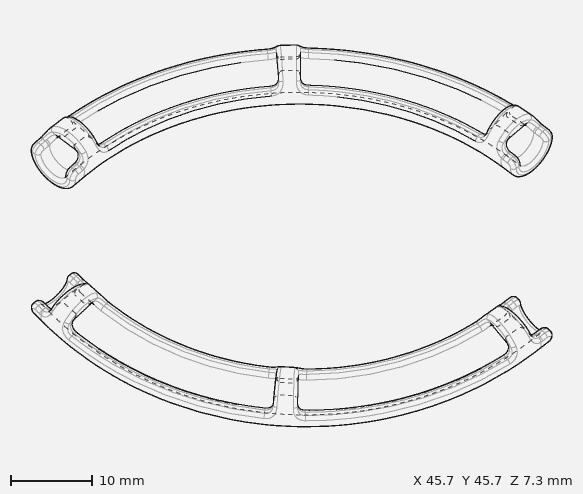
import cadquery as cq
import math

overall = 45.7
tube_radius = 3.65
bore_radius = 2.2
lead_length = 2.1
rim_height = 1.0
corner_radius = 1.0
edge_radius = 0.5
band_setback = 2.8
band_width = 2.85
smooth_limit = 0.99

axis_offset = tube_radius
bend_radius = overall - axis_offset - lead_length
bend_x = overall - lead_length
bend_y = lead_length
band_ceiling = rim_height + corner_radius
cutter_reach = 2 * tube_radius

bend_angle = 90.0
middle_angle = bend_angle / 2
half_band_angle = math.degrees(band_width / 2 / bend_radius)
end_band_angle = math.degrees((band_setback + band_width - lead_length) / bend_radius)


def bend_point(radius, angle):
    """Point at a given radius and angle about the bend centre."""
    turn = math.radians(angle)
    return (bend_x - radius * math.cos(turn), bend_y + radius * math.sin(turn))


def bent_rod(radius):
    """Round rod along a straight lead, a quarter bend and a second straight lead."""
    path = (
        cq.Workplane("XY")
        .moveTo(axis_offset, 0)
        .lineTo(axis_offset, bend_y)
        .threePointArc(bend_point(bend_radius, middle_angle), (bend_x, overall - axis_offset))
        .lineTo(overall, overall - axis_offset)
    )
    return cq.Workplane("XZ", origin=(axis_offset, 0, 0)).circle(radius).sweep(path)


def bend_window(start_angle, end_angle):
    """Cutter that opens the bend above the rims, with rounded feet at both ends."""
    inner = bend_radius - cutter_reach
    outer = bend_radius + cutter_reach
    middle = (start_angle + end_angle) / 2
    return (
        cq.Workplane("XY", origin=(0, 0, rim_height))
        .moveTo(*bend_point(inner, start_angle))
        .lineTo(*bend_point(outer, start_angle))
        .threePointArc(bend_point(outer, middle), bend_point(outer, end_angle))
        .lineTo(*bend_point(inner, end_angle))
        .threePointArc(bend_point(inner, middle), bend_point(inner, start_angle))
        .close()
        .extrude(cutter_reach)
        .faces("<Z")
        .edges("%LINE")
        .fillet(corner_radius)
    )


def end_notch():
    """Cutter that opens the first tube end, rounding the rim end and the foot of the band."""
    r = corner_radius
    bulge = r * math.sqrt(0.5)
    rim_end_z = rim_height - r
    foot_start = band_setback - r
    return (
        cq.Workplane("YZ", origin=(axis_offset, 0, 0))
        .moveTo(0, rim_end_z)
        .threePointArc((r - bulge, rim_end_z + bulge), (r, rim_height))
        .lineTo(foot_start, rim_height)
        .threePointArc((foot_start + bulge, band_ceiling - bulge), (band_setback, band_ceiling))
        .lineTo(band_setback, cutter_reach)
        .lineTo(-r, cutter_reach)
        .lineTo(-r, rim_end_z)
        .close()
        .extrude(cutter_reach, both=True)
    )


def sharp_edges(solid):
    """Edges at which two faces meet at an angle instead of running smoothly into each other."""
    neighbours = {}
    for face in solid.Faces():
        for edge in face.Edges():
            neighbours.setdefault(edge, []).append(face)
    found = []
    for edge, faces in neighbours.items():
        if len(faces) != 2:
            continue
        midpoint = edge.positionAt(0.5)
        normals = [face.normalAt(midpoint) for face in faces]
        if normals[0].dot(normals[1]) < smooth_limit:
            found.append(edge)
    return found


def opened_and_rounded(rod):
    """Cut the windows and end notches from a rod, then soften its sharp edges."""
    first_notch = end_notch()
    second_notch = (
        first_notch
        .rotate((axis_offset, 0, 0), (axis_offset, 0, 1), 90)
        .translate((overall - axis_offset, overall - axis_offset, 0))
    )
    body = (
        rod
        .cut(bend_window(end_band_angle, middle_angle - half_band_angle))
        .cut(bend_window(middle_angle + half_band_angle, bend_angle - end_band_angle))
        .cut(first_notch)
        .cut(second_notch)
    )
    return body.newObject(sharp_edges(body.val())).fillet(edge_radius)


channel = opened_and_rounded(bent_rod(tube_radius).cut(bent_rod(bore_radius)))

upper_space = (
    cq.Workplane("XY", origin=(0, 0, band_ceiling))
    .rect(overall, overall, centered=False)
    .extrude(cutter_reach)
)
band_caps = opened_and_rounded(bent_rod(tube_radius)).intersect(upper_space)

result = channel.union(band_caps)